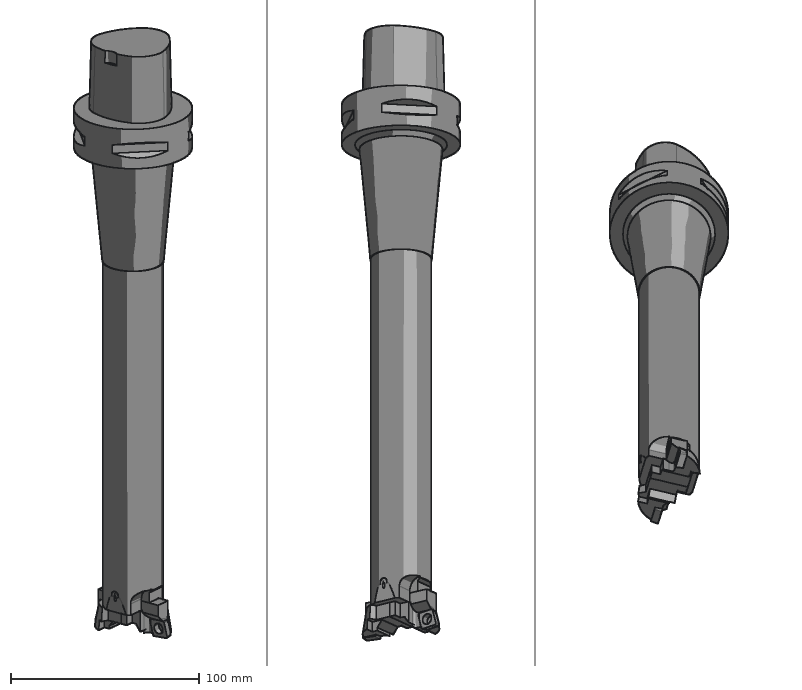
import cadquery as cq
import math

total_length = 335.0
flange_top_z = 297.5
flange_bottom_z = 275.0
neck_z = 272.5
shank_top_z = 210.7
joint_z = 14.7

flange_radius = 63.0 / 2
shank_radius = 32.0 / 2
collar_radius = 24.5
neck_radius = 22.0
cone_end_radius = 16.5

coupling_top_radius = 20.95
coupling_taper = 0.025
lobe_height = 1.45
lobe_half_angle = 25
key_slot_half_width = 4.0
key_slot_depth = 1.7
key_slot_height = 6.7

groove_z = 285.5
groove_depth = 3.7
groove_floor_half_height = 2.5
groove_mouth_half_height = 4.5

seat_x = 13.7
seat_top_z = 25.8
seat_ceiling_z = 27.5
seat_side_y = 7.7
chip_pocket_x = 8.7
chip_pocket_radius = 6.7
chip_pocket_arc_z = 21.5
upstand_front_y = 4.0
relief_top_z = 26.0
relief_depth = 1.4
spotface_diameter = 4.5
spotface_z = 24.8
spotface_depth = 0.27
coolant_diameter = 1.5
coolant_length = 10.0
coolant_tilt = 20
coolant_z = 21.8

cartridge_bottom_z = 1.5
cartridge_top_radius = 14.7
cartridge_top_shift = 4.5
cartridge_bottom_radius = 14.7
cartridge_bottom_shift = 7.0
upstand_outer_x = 19.8
upstand_back_y = 4.7
upstand_top_z = 20.0
tongue_half_width = 10.5
back_wall_x = 8.7
back_wall_outer_x = 10.7
heel_x = 12.5
heel_y = 8.7
step_x = 3.7
step_y = 5.7
gullet_roof_z = 9.7
gullet_fillet = 2.7
arch_half_width = 9.2
arch_shoulder_z = 3.0
arch_top_half_width = 6.2
arch_top_z = 6.87

insert_inscribed_diameter = 9.5
insert_angle = 80
insert_thickness = 4.0
insert_relief_angle = 7
insert_nose_radius = 0.8
insert_hole_diameter = 5.7
insert_tilt = 5
cutting_radius = 22.8

clearance = 67.0


def polar(radius, degrees):
    angle = math.radians(degrees)
    return (radius * math.cos(angle), radius * math.sin(angle))


def turned_copy(shape):
    """The same shape half a turn round the tool axis."""
    return shape.rotate((0, 0, 0), (0, 0, 1), 180)


def coupling_outline(workplane, mean_radius):
    """Six arcs, a tight one round each lobe and a flat one between lobes."""
    joint_radius = mean_radius + lobe_height * math.cos(math.radians(3 * lobe_half_angle))
    outline = workplane.moveTo(*polar(joint_radius, 90 - lobe_half_angle))
    for peak in (90, 210, 330):
        outline = outline.threePointArc(
            polar(mean_radius + lobe_height, peak),
            polar(joint_radius, peak + lobe_half_angle),
        ).threePointArc(
            polar(mean_radius - lobe_height, peak + 60),
            polar(joint_radius, peak + 120 - lobe_half_angle),
        )
    return outline.close()


def make_coupling():
    height = total_length - flange_top_z
    base_radius = coupling_top_radius + coupling_taper * height
    base = coupling_outline(cq.Workplane("XY").workplane(offset=flange_top_z), base_radius)
    coupling = coupling_outline(base.workplane(offset=height), coupling_top_radius).loft(ruled=True)

    flat_y = coupling_top_radius - lobe_height
    slot_radius = (key_slot_half_width**2 + key_slot_depth**2) / (2 * key_slot_depth)
    key_slot = (
        cq.Workplane("XY", origin=(0, -flat_y + key_slot_depth - slot_radius, total_length - key_slot_height))
        .circle(slot_radius)
        .extrude(key_slot_height)
    )
    return coupling.cut(key_slot)


def make_gripper_groove(angle):
    """Straight groove with a flat floor and flared walls."""
    floor_x = flange_radius - groove_depth
    return (
        cq.Workplane("XZ", origin=(0, 0, groove_z))
        .polyline([
            (floor_x, -groove_floor_half_height),
            (flange_radius, -groove_mouth_half_height),
            (flange_radius, groove_mouth_half_height),
            (floor_x, groove_floor_half_height),
        ])
        .close()
        .extrude(flange_radius, both=True)
        .rotate((0, 0, 0), (0, 0, 1), angle)
    )


def make_seat_cut():
    """Flat on the +X side that runs out at 45 degrees below a level ceiling."""
    return (
        cq.Workplane("XZ", origin=(0, seat_side_y, 0))
        .polyline([
            (seat_x, 0),
            (clearance, 0),
            (clearance, seat_ceiling_z),
            (seat_x + seat_ceiling_z - seat_top_z, seat_ceiling_z),
            (seat_x, seat_top_z),
        ])
        .close()
        .extrude(clearance)
    )


def make_chip_pocket():
    """Round-topped pocket on the +X, -Y side, in front of the insert."""
    arc_x = chip_pocket_x + chip_pocket_radius
    arc_middle = polar(chip_pocket_radius, 135)
    return (
        cq.Workplane("XZ", origin=(0, -upstand_front_y, 0))
        .moveTo(chip_pocket_x, 0)
        .lineTo(chip_pocket_x, chip_pocket_arc_z)
        .threePointArc(
            (arc_x + arc_middle[0], chip_pocket_arc_z + arc_middle[1]),
            (arc_x, chip_pocket_arc_z + chip_pocket_radius),
        )
        .lineTo(clearance, chip_pocket_arc_z + chip_pocket_radius)
        .lineTo(clearance, 0)
        .close()
        .extrude(clearance)
    )


def make_relief():
    """Sloping flat on the -Y side that deepens towards the joint."""
    return (
        cq.Workplane("YZ")
        .polyline([
            (-shank_radius, relief_top_z),
            (-shank_radius + relief_depth, joint_z),
            (-shank_radius, joint_z),
        ])
        .close()
        .extrude(shank_radius, both=True)
    )


def make_spotface():
    """Shallow round flat that blends into the top of the sloping relief."""
    return (
        cq.Workplane("XZ", origin=(0, spotface_depth - shank_radius, spotface_z))
        .circle(spotface_diameter / 2)
        .extrude(shank_radius)
    )


def make_coolant_outlet():
    """Slanted bore that leaves the shank through the sloping relief."""
    return (
        cq.Workplane("XY")
        .circle(coolant_diameter / 2)
        .extrude(coolant_length, both=True)
        .rotate((0, 0, 0), (1, 0, 0), -coolant_tilt)
        .translate((0, -shank_radius, coolant_z))
    )


def make_upstand():
    """Block of the +X cartridge that stands up into a notch in the shank."""
    return (
        cq.Workplane("XY")
        .box(
            upstand_outer_x - chip_pocket_x,
            upstand_front_y + upstand_back_y,
            upstand_top_z - arch_top_z,
            centered=False,
        )
        .translate((chip_pocket_x, -upstand_front_y, arch_top_z))
    )


def make_shank():
    shank = (
        cq.Workplane("XZ")
        .polyline([
            (0, joint_z),
            (shank_radius, joint_z),
            (shank_radius, shank_top_z),
            (cone_end_radius, shank_top_z),
            (neck_radius, neck_z),
            (collar_radius, flange_bottom_z),
            (flange_radius, flange_bottom_z),
            (flange_radius, flange_top_z),
            (0, flange_top_z),
        ])
        .close()
        .revolve(360, (0, 0, 0), (0, 1, 0))
        .union(make_coupling())
    )
    for angle in (45, 135, 225, 315):
        shank = shank.cut(make_gripper_groove(angle))
    cutters = (
        make_seat_cut(),
        make_chip_pocket(),
        make_upstand(),
        make_relief(),
        make_spotface(),
        make_coolant_outlet(),
    )
    for cutter in cutters:
        shank = shank.cut(cutter).cut(turned_copy(cutter))
    return shank


def make_insert_blank():
    """Solid insert of the +X side: cutting face at Y = 0, tapering towards +Y."""
    inset = 2 * insert_nose_radius
    side = (insert_inscribed_diameter - inset) / math.sin(math.radians(insert_angle))
    edge_x, edge_z = polar(side, insert_tilt)
    back_x, back_z = polar(side, insert_tilt + 180 - insert_angle)
    low_x = cutting_radius - insert_nose_radius - edge_x
    low_z = insert_nose_radius
    return (
        cq.Workplane("ZX")
        .polyline([
            (low_z, low_x),
            (low_z + edge_z, low_x + edge_x),
            (low_z + edge_z + back_z, low_x + edge_x + back_x),
            (low_z + back_z, low_x + back_x),
        ])
        .close()
        .offset2D(insert_nose_radius)
        .extrude(insert_thickness, taper=insert_relief_angle)
    )


def make_insert():
    return (
        make_insert_blank()
        .faces("<Y")
        .workplane(centerOption="CenterOfMass")
        .hole(insert_hole_diameter)
    )


def make_gullet():
    """Chip space in front of the insert, with a 45 degree roof below the upstand."""
    lower = (
        cq.Workplane("XY")
        .box(clearance, clearance, clearance, centered=False)
        .translate((arch_half_width, -clearance, 0))
        .edges("|Z and <X and >Y")
        .fillet(gullet_fillet)
    )
    roof_profile = (
        cq.Workplane("YZ")
        .polyline([
            (0, 0),
            (0, gullet_roof_z),
            (-upstand_front_y, gullet_roof_z + upstand_front_y),
            (-upstand_front_y, clearance),
            (-clearance, clearance),
            (-clearance, 0),
        ])
        .close()
        .extrude(clearance)
    )
    return lower.intersect(roof_profile)


def make_arch():
    """Opening under the middle of the head, shared by both cartridges."""
    return (
        cq.Workplane("XZ")
        .polyline([
            (-arch_half_width, 0),
            (-arch_half_width, arch_shoulder_z),
            (-arch_top_half_width, arch_top_z),
            (arch_top_half_width, arch_top_z),
            (arch_half_width, arch_shoulder_z),
            (arch_half_width, 0),
        ])
        .close()
        .extrude(clearance, both=True)
    )


def make_side_flats():
    """Material taken off both sides of the middle of the head, seen along Z."""
    front = (
        cq.Workplane("XY")
        .polyline([
            (0, -tongue_half_width),
            (step_x, -tongue_half_width),
            (step_x, -step_y),
            (clearance, -step_y),
            (clearance, -clearance),
            (0, -clearance),
        ])
        .close()
        .extrude(clearance)
    )
    back = (
        cq.Workplane("XY")
        .polyline([
            (0, tongue_half_width),
            (back_wall_x, tongue_half_width),
            (back_wall_outer_x, cartridge_top_radius),
            (0, cartridge_top_radius),
        ])
        .close()
        .extrude(clearance)
    )
    heel = (
        cq.Workplane("XY")
        .box(heel_x, clearance, arch_top_z, centered=False)
        .translate((0, heel_y, 0))
    )
    return front.union(back).union(heel)


def make_cartridge():
    """Cartridge of the +X side, ending at the X = 0 plane."""
    slide = (
        cq.Workplane("XY", origin=(0, 0, cartridge_bottom_z))
        .center(cartridge_bottom_shift, 0)
        .circle(cartridge_bottom_radius)
        .workplane(offset=joint_z - cartridge_bottom_z)
        .center(cartridge_top_shift - cartridge_bottom_shift, 0)
        .circle(cartridge_top_radius)
        .loft(ruled=True)
    )
    half_space = cq.Workplane("XY").box(clearance, clearance, clearance).translate((clearance / 2, 0, 0))
    return (
        slide.intersect(half_space)
        .cut(make_side_flats())
        .union(make_upstand())
        .cut(make_arch())
        .cut(make_gullet())
        .cut(make_insert_blank())
    )


shank = make_shank()
cartridges = []
inserts = []
for turn in (0, 180):
    cartridges.append(make_cartridge().rotate((0, 0, 0), (0, 0, 1), turn).val())
    inserts.append(make_insert().rotate((0, 0, 0), (0, 0, 1), turn).val())

result = cq.Compound.makeCompound([shank.val(), *cartridges, *inserts])